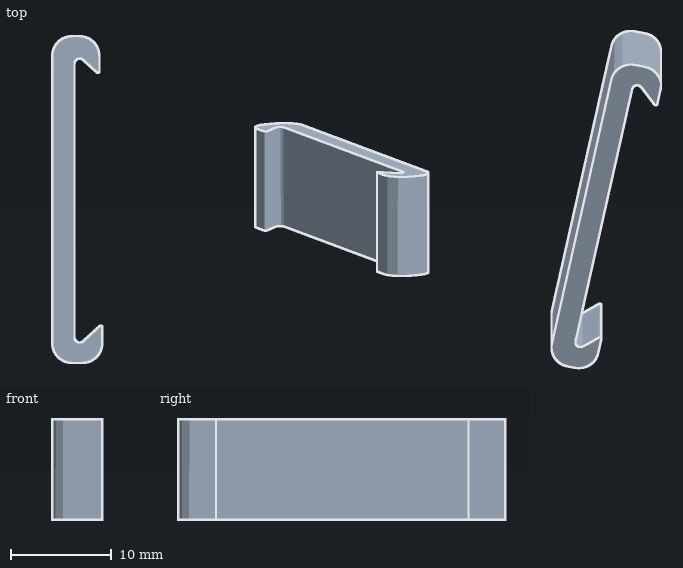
import cadquery as cq
import math

LENGTH = 32.44
HEIGHT = 10.0
WALL = 2.24

FRONT_HOOK_REACH = 5.0
REAR_HOOK_REACH = 4.71

FRONT_ROOT_DEPTH = 1.415
REAR_ROOT_DEPTH = 1.615
BARB_ANGLE = 42.5

OUTER_RADIUS = 2.0
ROOT_RADIUS = 0.5
TIP_RADIUS = 0.17

HALF_LENGTH = LENGTH / 2


def clip_blank():
    """Sharp-cornered clip with its root and tip corners: a long wall, a hook turned inward at each end."""
    front_root = -HALF_LENGTH + FRONT_ROOT_DEPTH
    rear_root = HALF_LENGTH - REAR_ROOT_DEPTH
    barb_slope = math.tan(math.radians(BARB_ANGLE))
    front_tip = front_root + (FRONT_HOOK_REACH - WALL) * barb_slope
    rear_tip = rear_root - (REAR_HOOK_REACH - WALL) * barb_slope
    outline = [
        (0, -HALF_LENGTH),
        (FRONT_HOOK_REACH, -HALF_LENGTH),
        (FRONT_HOOK_REACH, front_tip),
        (WALL, front_root),
        (WALL, rear_root),
        (REAR_HOOK_REACH, rear_tip),
        (REAR_HOOK_REACH, HALF_LENGTH),
        (0, HALF_LENGTH),
    ]
    blank = cq.Workplane("XY").polyline(outline).close().extrude(HEIGHT)
    tips = [(FRONT_HOOK_REACH, front_tip), (REAR_HOOK_REACH, rear_tip)]
    roots = [(WALL, front_root), (WALL, rear_root)]
    return blank, roots, tips


def round_upright_edges(body, corners, radius):
    """Fillet the vertical edge standing at each (x, y) corner."""
    for x, y in corners:
        body = body.edges(cq.NearestToPointSelector((x, y, HEIGHT / 2))).fillet(radius)
    return body


outer_corners = [
    (0, -HALF_LENGTH),
    (FRONT_HOOK_REACH, -HALF_LENGTH),
    (REAR_HOOK_REACH, HALF_LENGTH),
    (0, HALF_LENGTH),
]

blank, root_corners, tip_corners = clip_blank()
clip = round_upright_edges(blank, outer_corners, OUTER_RADIUS)
clip = round_upright_edges(clip, root_corners, ROOT_RADIUS)
result = round_upright_edges(clip, tip_corners, TIP_RADIUS)